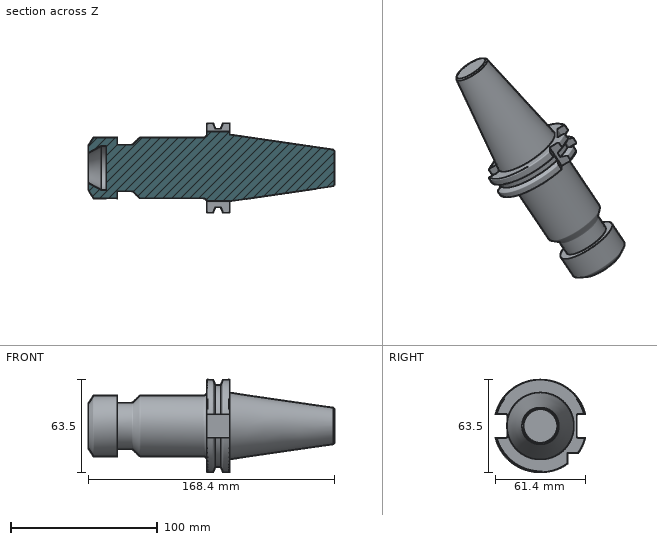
import cadquery as cq

total_length = 168.4

nut_diameter = 42.0
nut_length = 20.0
nut_face_diameter = 30.5
nut_chamfer_length = 3.7
nut_face_fillet = 1.7
nut_edge_fillet = 0.8

opening_diameter = 20.2
pocket_diameter = 30.0
opening_cone_depth = 9.1
pocket_depth = 12.3

neck_diameter = 32.0
body_diameter = 41.8
body_cone_start = 30.3
body_cone_length = 5.0
body_cone_fillet = 1.0
body_root_fillet = 2.2

flange_diameter = 63.5
flange_width = 15.8
flange_back = 96.8
flange_front = flange_back - flange_width
flange_edge_fillet = 0.8
groove_diameter = 56.0
groove_floor_width = 3.5
groove_mouth_width = 6.7
groove_center = flange_front + 7.7
groove_edge_fillet = 0.7

slot_width = 16.2
slot_floor_front = 22.7
slot_floor_rear = 25.0
slot_corner_fillet = 0.8
notch_offset = 18.5

taper_small_diameter = 25.0
taper_ratio = 7 / 24
shank_end_chamfer = 1.0


def revolved(profile):
    """Close a half profile drawn from the X axis and turn it about that axis."""
    return profile.close().revolve(360, (0, 0, 0), (1, 0, 0))


def fillet_circle(body, x, radius, fillet):
    """Round the circular edge of the given radius centred on the axis at x."""
    margin = 0.02
    corner = cq.selectors.BoxSelector(
        (x - margin, -radius - margin, -radius - margin),
        (x + margin, radius + margin, radius + margin),
        boundingbox=True,
    )
    largest = cq.selectors.RadiusNthSelector(-1)
    return body.edges(corner).edges(largest).fillet(fillet)


def make_nut_and_body():
    nut_r = nut_diameter / 2
    face_r = nut_face_diameter / 2
    neck_r = neck_diameter / 2
    body_r = body_diameter / 2
    core_r = body_r + body_root_fillet
    body_start = body_cone_start + body_cone_length
    body = revolved(
        cq.Workplane("XY")
        .lineTo(0, face_r)
        .lineTo(nut_chamfer_length, nut_r)
        .lineTo(nut_length, nut_r)
        .lineTo(nut_length, neck_r)
        .lineTo(body_cone_start, neck_r)
        .lineTo(body_start, body_r)
        .lineTo(flange_front - body_root_fillet, body_r)
        .radiusArc((flange_front, core_r), -body_root_fillet)
        .lineTo(flange_back, core_r)
        .lineTo(flange_back, 0)
    )
    body = fillet_circle(body, 0, face_r, nut_face_fillet)
    body = fillet_circle(body, nut_chamfer_length, nut_r, nut_edge_fillet)
    body = fillet_circle(body, body_cone_start, neck_r, body_cone_fillet)
    return fillet_circle(body, body_start, body_r, body_cone_fillet)


def make_collet_opening():
    opening_r = opening_diameter / 2
    pocket_r = pocket_diameter / 2
    return revolved(
        cq.Workplane("XY")
        .lineTo(0, opening_r)
        .lineTo(opening_cone_depth, pocket_r)
        .lineTo(pocket_depth, pocket_r)
        .lineTo(pocket_depth, 0)
    )


def make_flange():
    flange_r = flange_diameter / 2
    groove_r = groove_diameter / 2
    flange = revolved(
        cq.Workplane("XY")
        .moveTo(flange_front, 0)
        .lineTo(flange_front, flange_r)
        .lineTo(groove_center - groove_mouth_width / 2, flange_r)
        .lineTo(groove_center - groove_floor_width / 2, groove_r)
        .lineTo(groove_center + groove_floor_width / 2, groove_r)
        .lineTo(groove_center + groove_mouth_width / 2, flange_r)
        .lineTo(flange_back, flange_r)
        .lineTo(flange_back, 0)
    )
    flange = fillet_circle(flange, flange_front, flange_r, flange_edge_fillet)
    flange = fillet_circle(flange, flange_back, flange_r, flange_edge_fillet)
    for side in (-1, 1):
        mouth_edge = groove_center + side * groove_mouth_width / 2
        flange = fillet_circle(flange, mouth_edge, flange_r, groove_edge_fillet)
    return flange


def make_shank():
    small_r = taper_small_diameter / 2
    large_r = small_r + (total_length - flange_back) * taper_ratio / 2
    shank = revolved(
        cq.Workplane("XY")
        .moveTo(flange_back, 0)
        .lineTo(flange_back, large_r)
        .lineTo(total_length, small_r)
        .lineTo(total_length, 0)
    )
    return shank.faces(">X").chamfer(shank_end_chamfer)


def make_drive_slot(side, floor_distance):
    """Cutter for the drive slot on one side (-1 or 1) of the axis along Y."""
    start = flange_front - body_root_fillet
    center_x = (start + flange_back) / 2
    center_y = side * (floor_distance + flange_diameter / 2)
    slot = (
        cq.Workplane("XY")
        .box(flange_back - start, flange_diameter, slot_width)
        .translate((center_x, center_y, 0))
    )
    floor = "<Y" if side > 0 else ">Y"
    return slot.faces(floor).edges("|X").fillet(slot_corner_fillet)


def make_notch():
    """Cutter for the square-cornered notch through the flange at +Y, -Z."""
    return (
        cq.Workplane("YZ", origin=(flange_front, 0, 0))
        .moveTo(notch_offset, -notch_offset)
        .rect(flange_diameter, -flange_diameter, centered=False)
        .extrude(flange_width)
    )


result = (
    make_nut_and_body()
    .union(make_flange())
    .union(make_shank())
    .cut(make_drive_slot(-1, slot_floor_front))
    .cut(make_drive_slot(1, slot_floor_rear))
    .cut(make_notch())
    .cut(make_collet_opening())
)